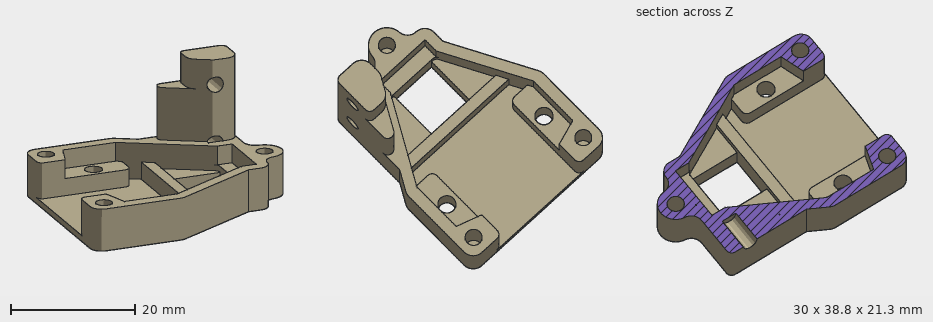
import cadquery as cq
import math

half_width = 14.985
shoulder_y = 15.43
back_y = 34.2
neck_x = 7.0
post_side_x = -12.95
slope = 1.84
base_height = 7.2
large_radius = 2.0
small_radius = 1.0

floor_z = 1.05
wall = 2.05
cavity_half_width = half_width - wall
cavity_shoulder_y = 15.2
alcove_half_width = 5.08
alcove_back_y = 32.2
rib_front_y = 18.85
rib_back_y = 20.8
rib_top_z = 4.0
pocket_z = 3.0
pocket_back_y = 29.78
window_half_width = 4.2

pad_inner_x = 8.6
pad_back_y = 16.1
pad_top_z = 4.0
block_inner_y = 4.6
block_outer_y = 6.0

lug_radius = 3.0
lug_y = 38.77 - lug_radius

blind_diameter = 2.7
blind_depth = 6.0
corner_hole_x = 12.17
corner_hole_y = 2.75
pad_hole_diameter = 2.9
pad_hole_x = 10.78
pad_hole_y = 10.45

post_top_z = 21.3
step_z = 16.2
post_inner_x = -neck_x
post_slant_top_y = 29.95
post_front_y = 22.05
step_y = 26.2
cross_hole_diameter = 2.6
cross_hole_y = 30.2
cross_hole_heights = (6.9, 17.0)


def prism(points, bottom, top):
    return cq.Workplane("XY").workplane(offset=bottom).polyline(points).close().extrude(top - bottom)


def block(x0, x1, y0, y1, bottom, top):
    return prism([(x0, y0), (x1, y0), (x1, y1), (x0, y1)], bottom, top)


def round_corner(solid, point, radius):
    """Round the vertical edge that stands at the given XY point."""
    reach = 0.05
    x, y = point
    low = (x - reach, y - reach, -0.4)
    high = (x + reach, y + reach, post_top_z + 0.4)
    return solid.edges("|Z").edges(cq.selectors.BoxSelector(low, high)).fillet(radius)


def slant_x(start_x, start_y, y):
    """X on a right-hand slanted wall that leaves (start_x, start_y)."""
    return start_x - (y - start_y) / slope


def make_base():
    neck_y = shoulder_y + (half_width - neck_x) * slope
    post_side_y = shoulder_y + (half_width + post_side_x) * slope
    corners = [
        ((-half_width, 0), large_radius),
        ((half_width, 0), large_radius),
        ((half_width, shoulder_y), large_radius),
        ((neck_x, neck_y), 0),
        ((neck_x, back_y), large_radius),
        ((post_side_x, back_y), small_radius),
        ((post_side_x, post_side_y), 0),
        ((-half_width, shoulder_y), large_radius),
    ]
    base = prism([point for point, _ in corners], 0, base_height)
    for point, radius in corners:
        if radius:
            base = round_corner(base, point, radius)
    return base


def make_lug():
    """Round lug blended into the back face by two tangent concave arcs."""
    blend_y = back_y + large_radius
    reach = lug_radius + large_radius
    blend_x = math.sqrt(reach**2 - (blend_y - lug_y) ** 2)
    touch_x = blend_x * lug_radius / reach
    touch_y = lug_y + (blend_y - lug_y) * lug_radius / reach
    toward_x = (touch_x - blend_x) / large_radius
    toward_y = (touch_y - blend_y) / large_radius - 1
    length = math.hypot(toward_x, toward_y)
    middle_x = blend_x + large_radius * toward_x / length
    middle_y = blend_y + large_radius * toward_y / length
    return (
        cq.Workplane("XY")
        .moveTo(-blend_x, back_y)
        .threePointArc((-middle_x, middle_y), (-touch_x, touch_y))
        .threePointArc((0, lug_y + lug_radius), (touch_x, touch_y))
        .threePointArc((middle_x, middle_y), (blend_x, back_y))
        .lineTo(blend_x, alcove_back_y)
        .lineTo(-blend_x, alcove_back_y)
        .close()
        .extrude(base_height)
    )


def tapered_room(y0, y1, bottom, top):
    """Space between the two slanted inner walls, from y0 to y1."""
    x0 = slant_x(cavity_half_width, cavity_shoulder_y, y0)
    x1 = slant_x(cavity_half_width, cavity_shoulder_y, y1)
    return prism([(-x0, y0), (x0, y0), (x1, y1), (-x1, y1)], bottom, top)


def make_cavity():
    alcove_y = cavity_shoulder_y + (cavity_half_width - alcove_half_width) * slope
    upper = tapered_room(cavity_shoulder_y, alcove_y, rib_top_z, base_height)
    upper = upper.union(
        block(-alcove_half_width, alcove_half_width, alcove_y, alcove_back_y, rib_top_z, base_height)
    )

    pocket = tapered_room(rib_back_y, pocket_back_y, pocket_z, rib_top_z)
    pocket_x = slant_x(cavity_half_width, cavity_shoulder_y, pocket_back_y)
    for side in (-1, 1):
        pocket = round_corner(pocket, (side * pocket_x, pocket_back_y), small_radius)

    window = block(-window_half_width, window_half_width, rib_back_y, pocket_back_y, 0, rib_top_z)

    front = block(-cavity_half_width, cavity_half_width, 0, cavity_shoulder_y, floor_z, base_height)
    front = front.union(tapered_room(cavity_shoulder_y, rib_front_y, floor_z, base_height))
    for side in (-1, 1):
        front = front.cut(make_pad(side))
    return upper.cut(make_pad(-1)).cut(make_pad(1)).union(pocket).union(window).union(front)


def make_pad(side):
    """Low side pad with a full-height block at its front end."""
    inner = side * pad_inner_x
    outer = side * half_width
    wall_x = side * cavity_half_width
    pad = block(inner, outer, 0, pad_back_y, floor_z, pad_top_z)
    outline = [(inner, 0), (outer, 0), (outer, block_outer_y), (wall_x, block_outer_y), (inner, block_inner_y)]
    pad = pad.union(prism(outline, floor_z, base_height))
    pad = round_corner(pad, (inner, pad_back_y), small_radius)
    return round_corner(pad, (inner, 0), small_radius)


def post_section(front_y, front_radius, bottom, top):
    front_x = post_inner_x - (post_slant_top_y - front_y) / slope
    corners = [
        ((post_side_x, front_y), small_radius),
        ((front_x, front_y), front_radius),
        ((post_inner_x, post_slant_top_y), large_radius),
        ((post_inner_x, back_y), large_radius),
        ((post_side_x, back_y), small_radius),
    ]
    section = prism([point for point, _ in corners], bottom, top)
    for point, radius in corners:
        section = round_corner(section, point, radius)
    return section


def make_post():
    lower = post_section(post_front_y, small_radius, floor_z, step_z)
    upper = post_section(step_y, large_radius, step_z, post_top_z)
    return lower.union(upper)


def cross_hole(height):
    return (
        cq.Workplane("YZ", origin=(post_side_x, cross_hole_y, height))
        .circle(cross_hole_diameter / 2)
        .extrude(post_inner_x - post_side_x)
    )


result = make_base().union(make_lug()).cut(make_cavity()).union(make_post())

for x, y in [(-corner_hole_x, corner_hole_y), (corner_hole_x, corner_hole_y), (0, lug_y)]:
    blind_hole = cq.Workplane("XY", origin=(x, y, base_height)).circle(blind_diameter / 2).extrude(-blind_depth)
    result = result.cut(blind_hole)

for x in (-pad_hole_x, pad_hole_x):
    pad_hole = cq.Workplane("XY", origin=(x, pad_hole_y, 0)).circle(pad_hole_diameter / 2).extrude(base_height)
    result = result.cut(pad_hole)

for height in cross_hole_heights:
    result = result.cut(cross_hole(height))